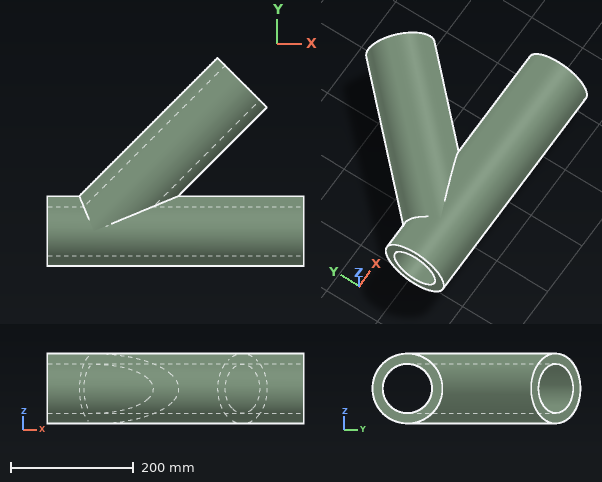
import cadquery as cq

outer_diameter = 114.5
bore_diameter = 80.0
main_length = 419.0
branch_offset = 76.3
branch_length = 342.5
branch_angle = 45.0


def main_cylinder(diameter):
    """Solid cylinder along +X, the full length of the main pipe."""
    return cq.Workplane("YZ").circle(diameter / 2).extrude(main_length)


def branch_cylinder(diameter):
    """Solid cylinder that leaves the main axis at the branch angle."""
    return (
        cq.Workplane("YZ")
        .circle(diameter / 2)
        .extrude(branch_length)
        .rotate((0, 0, 0), (0, 0, 1), branch_angle)
        .translate((branch_offset, 0, 0))
    )


def lateral_tee(diameter):
    """Main and branch cylinders of one diameter joined together."""
    return main_cylinder(diameter).union(branch_cylinder(diameter))


body = lateral_tee(outer_diameter)

result = body.cut(main_cylinder(bore_diameter)).cut(branch_cylinder(bore_diameter))